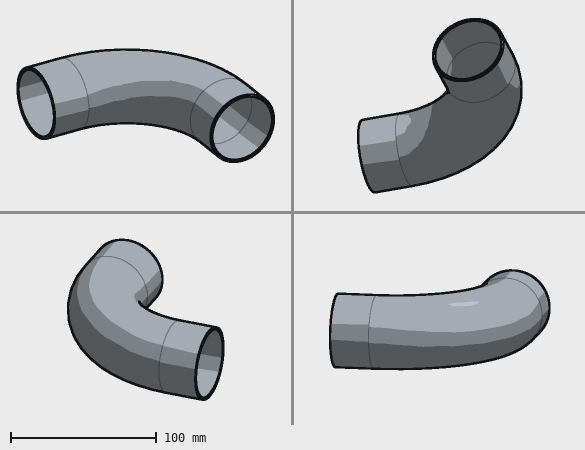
import cadquery as cq

overall_length = 128.6
outer_diameter = 50.8
inner_diameter = 47.5
tangent_length = 27.0

bend_radius = overall_length - tangent_length - outer_diameter / 2


def tube_section(plane):
    """Ring-shaped tube cross-section centred on the given workplane."""
    return cq.Workplane(plane).circle(outer_diameter / 2).circle(inner_diameter / 2)


bend_plane = cq.Plane(origin=(0, 0, 0), xDir=(1, 0, 0), normal=(0, 1, 0))
bend = tube_section(bend_plane).revolve(90, (bend_radius, 0), (bend_radius, 1))

inlet_plane = cq.Plane(origin=(0, -tangent_length, 0), xDir=(1, 0, 0), normal=(0, 1, 0))
inlet = tube_section(inlet_plane).extrude(tangent_length)

outlet_plane = cq.Plane(origin=(bend_radius, bend_radius, 0), xDir=(0, 1, 0), normal=(1, 0, 0))
outlet = tube_section(outlet_plane).extrude(tangent_length)

result = bend.union(inlet).union(outlet)